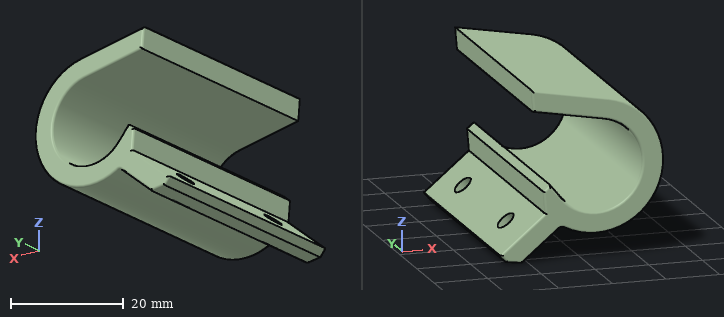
import cadquery as cq
import math

length = 45.0
outer_radius = 12.5
wall = 4.0
inner_radius = outer_radius - wall
edge_round = 0.5

arm_slope = 10.0
arm_end_x = -12.2
cut_tilt = 5.0

flange_slope = 40.0
root_angle = 180 + flange_slope + math.degrees(math.asin(wall / outer_radius))
flange_reach = 23.5
chamfer_along = 2.0
chamfer_across = 2.15
root_fillet = 1.0

lip_length = 3.35
lip_width = 1.7

hole_diameter = 3.6
hole_spacing = 25.0
hole_from_tip = 5.5
countersink_depth = 1.4
clearance = 0.45


def polar(radius, degrees):
    angle = math.radians(degrees)
    return (radius * math.cos(angle), radius * math.sin(angle))


def step(start, distance, degrees):
    offset = polar(distance, degrees)
    return (start[0] + offset[0], start[1] + offset[1])


def intersect(point_a, degrees_a, point_b, degrees_b):
    """Crossing point of two lines, each given by a point and a direction."""
    ax, az = polar(1, degrees_a)
    bx, bz = polar(1, degrees_b)
    dx, dz = point_b[0] - point_a[0], point_b[1] - point_a[1]
    return step(point_a, (dx * bz - dz * bx) / (ax * bz - az * bx), degrees_a)


def flange_root():
    """Point where the flange underside meets the outer cylinder."""
    return polar(outer_radius, root_angle)


def clip_profile():
    arm_normal = 90 - arm_slope
    outward = 180 + flange_slope
    across = outward + 90
    cut_direction = cut_tilt - 90

    arm_outer = polar(outer_radius, arm_normal)
    arm_inner = polar(inner_radius, arm_normal)
    arm_run = (arm_outer[0] - arm_end_x) / math.cos(math.radians(arm_slope))
    arm_top = step(arm_outer, arm_run, 180 - arm_slope)
    arm_bottom = intersect(arm_top, cut_direction, arm_inner, -arm_slope)

    lip_start = polar(inner_radius, outward)
    lip_peak = step(lip_start, lip_length, outward - 90)
    lip_corner = step(lip_peak, lip_width, outward)
    lip_foot = intersect(lip_corner, cut_direction, (0, 0), outward)

    tip = polar(flange_reach, outward)
    tip_low = step(tip, wall - chamfer_across, across)
    underside_end = step(step(tip, wall, across), -chamfer_along, outward)

    return (
        cq.Workplane("XZ")
        .moveTo(*arm_top)
        .lineTo(*arm_outer)
        .threePointArc((outer_radius, 0), (0, -outer_radius))
        .threePointArc(polar(outer_radius, (root_angle + 270) / 2), flange_root())
        .lineTo(*underside_end)
        .lineTo(*tip_low)
        .lineTo(*tip)
        .lineTo(*lip_foot)
        .lineTo(*lip_corner)
        .lineTo(*lip_peak)
        .lineTo(*lip_start)
        .threePointArc(polar(inner_radius, (outward + 270) / 2), (0, -inner_radius))
        .threePointArc((inner_radius, 0), arm_inner)
        .lineTo(*arm_bottom)
        .close()
    )


def screw_hole(y):
    x, z = polar(flange_reach - hole_from_tip, 180 + flange_slope)
    dx, dz = polar(1, flange_slope - 90)
    down = cq.Vector(dx, 0, dz)
    upper = cq.Vector(x, y, z)
    radius = hole_diameter / 2
    shank = cq.Solid.makeCylinder(radius, wall + 2 * clearance, upper - down * clearance, down)
    cone_depth = countersink_depth + clearance
    cone_start = upper + down * (wall - countersink_depth)
    cone = cq.Solid.makeCone(radius, radius + cone_depth, cone_depth, cone_start, down)
    return cq.Workplane(shank).union(cq.Workplane(cone))


def root_edge():
    """Selector for the corner where the flange underside meets the outer cylinder."""
    x, z = flange_root()
    return cq.selectors.NearestToPointSelector((x, 0, z))


body = clip_profile().extrude(length / 2, both=True)
body = body.edges(root_edge()).fillet(root_fillet)
body = body.faces("<Y or >Y").edges().fillet(edge_round)
for hole_y in (-hole_spacing / 2, hole_spacing / 2):
    body = body.cut(screw_hole(hole_y))

result = body